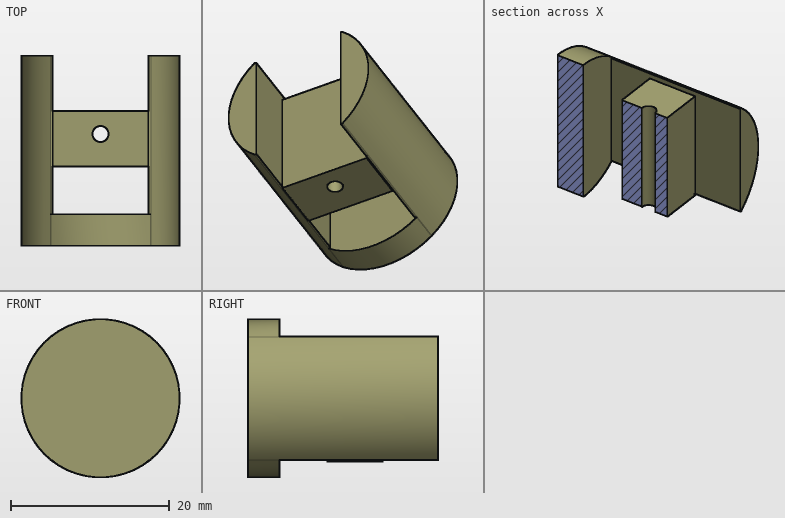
import cadquery as cq
import math

length = 24.0
diameter = 20.0
radius = diameter / 2
end_thickness = 4.0

slot_width = 12.05
arm_height = 15.5
edge_crown = 0.06

bar_front = 10.0
bar_depth = 7.0
bar_bottom = -8.0
bar_top = 7.0
hole_diameter = 2.0
hole_from_front = 14.1


def make_end_disc():
    return cq.Workplane("XZ").circle(radius).extrude(-end_thickness)


def make_arm(side):
    """One arm: flat inside, round outside; side is -1 for left, +1 for right."""
    inner_x = side * slot_width / 2
    half_height = arm_height / 2
    outer_x = side * math.sqrt(radius**2 - half_height**2)
    crown_x = (inner_x + outer_x) / 2
    crown_z = half_height + edge_crown
    return (
        cq.Workplane("XZ")
        .moveTo(inner_x, -half_height)
        .lineTo(inner_x, half_height)
        .threePointArc((crown_x, crown_z), (outer_x, half_height))
        .threePointArc((side * radius, 0), (outer_x, -half_height))
        .threePointArc((crown_x, -crown_z), (inner_x, -half_height))
        .close()
        .extrude(-length)
    )


def make_crossbar():
    bar = (
        cq.Workplane("XY")
        .box(slot_width, bar_depth, bar_top - bar_bottom, centered=(True, False, False))
        .translate((0, bar_front, bar_bottom))
    )
    hole = (
        cq.Workplane("XY", origin=(0, hole_from_front, bar_bottom))
        .circle(hole_diameter / 2)
        .extrude(bar_top - bar_bottom)
    )
    return bar.cut(hole)


result = make_end_disc().union(make_crossbar())
for arm_side in (-1, 1):
    result = result.union(make_arm(arm_side))